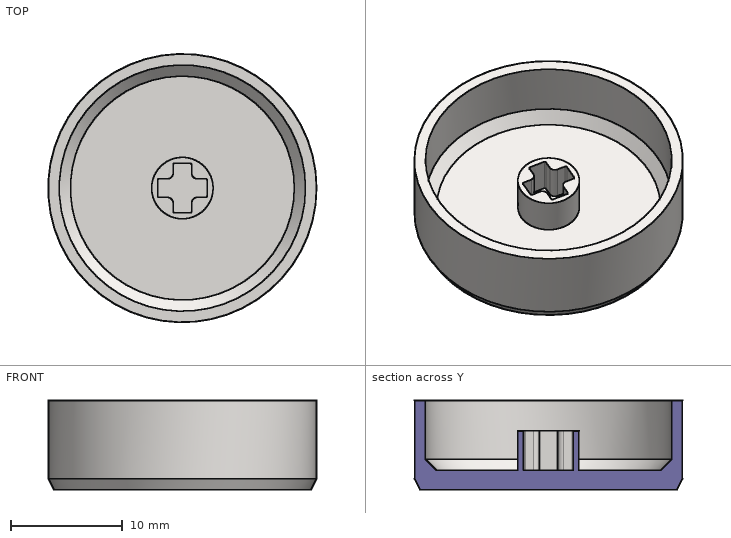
import cadquery as cq

outer_diameter = 24.0
height = 8.0
wall = outer_diameter / 24
floor_thickness = 1.75
inner_bevel = wall
bottom_bevel_height = wall
bottom_bevel_inset = bottom_bevel_height / 2

stem_diameter = 5.5
stem_height = 3.5

cross_length = 4.42
cross_arm_width = 1.65
cross_inner_radius = 0.5
cross_tip_radius = 0.12


def make_cup():
    """Revolve the wall and floor section about the Z axis."""
    outer_radius = outer_diameter / 2
    inner_radius = outer_radius - wall
    section = (
        cq.Workplane("XZ")
        .moveTo(0, 0)
        .lineTo(outer_radius - bottom_bevel_inset, 0)
        .lineTo(outer_radius, bottom_bevel_height)
        .lineTo(outer_radius, height)
        .lineTo(inner_radius, height)
        .lineTo(inner_radius, floor_thickness + inner_bevel)
        .lineTo(inner_radius - inner_bevel, floor_thickness)
        .lineTo(0, floor_thickness)
        .close()
    )
    return section.revolve(360, (0, 0, 0), (0, 1, 0))


def make_stem():
    """Round post standing on the cup floor."""
    return (
        cq.Workplane("XY")
        .workplane(offset=floor_thickness)
        .circle(stem_diameter / 2)
        .extrude(stem_height)
    )


def make_cross_bar(length_x, length_y):
    """One bar of the cross, from the cup floor to the top of the stem."""
    return (
        cq.Workplane("XY")
        .workplane(offset=floor_thickness)
        .rect(length_x, length_y)
        .extrude(stem_height)
        .edges("|Z")
        .fillet(cross_tip_radius)
    )


def make_cross():
    """Two crossed bars with rounded corners where they meet."""
    bar_x = make_cross_bar(cross_length, cross_arm_width)
    bar_y = make_cross_bar(cross_arm_width, cross_length)
    crossing = cq.selectors.BoxSelector(
        (-cross_arm_width, -cross_arm_width, 0),
        (cross_arm_width, cross_arm_width, height),
    )
    return bar_x.union(bar_y).edges("|Z").edges(crossing).fillet(cross_inner_radius)


result = make_cup().union(make_stem()).cut(make_cross())